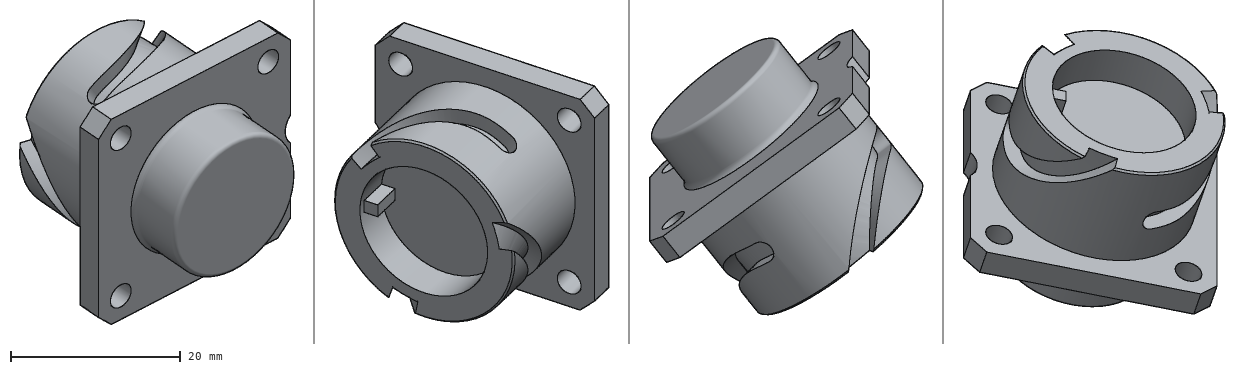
import cadquery as cq
import math

LENGTH = 24.7

FLANGE_SIZE = 30.0
FLANGE_FRONT = 14.13
FLANGE_THICKNESS = 3.3
FLANGE_BACK = FLANGE_FRONT + FLANGE_THICKNESS
CORNER_CHAMFER = 1.98
HOLE_SPACING = 23.05
HOLE_DIAMETER = 3.25
NOTCH_RADIUS = 2.9
NOTCH_DEPTH = 0.8

BARREL_RADIUS = 12.33
BARREL_CHAMFER = 0.25

BOSS_RADIUS = 9.5
BOSS_ROUND = 0.57
NECK_LENGTH = 0.75
NECK_FLARE = 0.42

BORE_RADIUS = 8.73
BORE_DEPTH = 4.92
KEY_FRONT = 0.93
KEY_WIDTH = 1.68
KEY_TIP = 6.85

SLOT_COUNT = 3
SLOT_WIDTH = 2.8
SLOT_FLOOR_RADIUS = 10.32
SLOT_CLEARANCE = 0.9
SLOT_TOP_RADIUS = BARREL_RADIUS + SLOT_CLEARANCE
SLOT_DEPTH_X = 7.8
SLOT_END_ANGLE = -32.8
SLOT_CURVE_ANGLE = -22.0
SLOT_MOUTH_ANGLE = 45.8
SLOT_OVERRUN_ANGLE = 12.0
SLOT_STEPS = 28


def make_flange():
    plate = (
        cq.Workplane("YZ", origin=(FLANGE_FRONT, 0, 0))
        .rect(FLANGE_SIZE, FLANGE_SIZE)
        .extrude(FLANGE_THICKNESS)
        .edges("|X")
        .chamfer(CORNER_CHAMFER)
    )
    holes = (
        cq.Workplane("YZ", origin=(FLANGE_FRONT, 0, 0))
        .rect(HOLE_SPACING, HOLE_SPACING, forConstruction=True)
        .vertices()
        .circle(HOLE_DIAMETER / 2)
        .extrude(FLANGE_THICKNESS)
    )
    notch = (
        cq.Workplane("YZ", origin=(FLANGE_FRONT, 0, 0))
        .center(FLANGE_SIZE / 2 - NOTCH_DEPTH + NOTCH_RADIUS, 0)
        .circle(NOTCH_RADIUS)
        .extrude(FLANGE_THICKNESS)
    )
    return plate.cut(holes).cut(notch)


def make_barrel():
    return (
        cq.Workplane("YZ")
        .circle(BARREL_RADIUS)
        .extrude(FLANGE_FRONT)
        .faces("<X")
        .chamfer(BARREL_CHAMFER)
    )


def make_boss():
    """Rear boss with a rounded end and a short flared neck at the flange."""
    round_drop = BOSS_ROUND * (1 - math.sqrt(0.5))
    neck_radius = (NECK_LENGTH**2 + NECK_FLARE**2) / (2 * NECK_FLARE)
    neck_sag = neck_radius - math.sqrt(neck_radius**2 - (NECK_LENGTH / 2) ** 2)
    neck_mid = (FLANGE_BACK + NECK_LENGTH / 2, BOSS_RADIUS + neck_sag)
    return (
        cq.Workplane("XY")
        .moveTo(FLANGE_BACK, 0)
        .lineTo(FLANGE_BACK, BOSS_RADIUS + NECK_FLARE)
        .threePointArc(neck_mid, (FLANGE_BACK + NECK_LENGTH, BOSS_RADIUS))
        .lineTo(LENGTH - BOSS_ROUND, BOSS_RADIUS)
        .threePointArc(
            (LENGTH - round_drop, BOSS_RADIUS - round_drop),
            (LENGTH, BOSS_RADIUS - BOSS_ROUND),
        )
        .lineTo(LENGTH, 0)
        .close()
        .revolve(360, (0, 0, 0), (1, 0, 0))
    )


def make_bore():
    return cq.Workplane("YZ").circle(BORE_RADIUS).extrude(BORE_DEPTH)


def make_key():
    """Keying rib on the +Y side of the bore, standing on the bore floor."""
    length = BORE_DEPTH - KEY_FRONT
    height = BARREL_RADIUS - KEY_TIP
    key = cq.Workplane("XY").box(length, height, KEY_WIDTH, centered=(False, False, True))
    return key.translate((KEY_FRONT, KEY_TIP, 0)).intersect(make_bore())


def slot_x(angle):
    """X of the slot centre line: level at the closed end, then a parabola to the mouth."""
    bend = max(0.0, angle - SLOT_CURVE_ANGLE) / (SLOT_MOUTH_ANGLE - SLOT_CURVE_ANGLE)
    return SLOT_DEPTH_X * (1 - bend**2)


def slot_slope(angle):
    """Change of X per unit of arc length along the barrel surface."""
    span = SLOT_MOUTH_ANGLE - SLOT_CURVE_ANGLE
    bend = max(0.0, angle - SLOT_CURVE_ANGLE) / span
    return -2 * SLOT_DEPTH_X * bend / (math.radians(span) * BARREL_RADIUS)


def slot_section(angle):
    """Rectangle across the slot, standing radially at one angle of its path."""
    turn = math.radians(angle)
    outward = cq.Vector(0, math.sin(turn), math.cos(turn))
    around = cq.Vector(0, math.cos(turn), -math.sin(turn))
    across = (cq.Vector(1, 0, 0) - around * slot_slope(angle)).normalized() * (SLOT_WIDTH / 2)
    centre = cq.Vector(slot_x(angle), 0, 0)
    floor = centre + outward * SLOT_FLOOR_RADIUS
    top = centre + outward * SLOT_TOP_RADIUS
    corners = [floor - across, floor + across, top + across, top - across]
    return cq.Wire.makePolygon(corners, close=True)


def make_slot():
    """Curved channel from the mating face to a round closed end."""
    travel = SLOT_MOUTH_ANGLE + SLOT_OVERRUN_ANGLE - SLOT_END_ANGLE
    angles = [SLOT_END_ANGLE + travel * step / SLOT_STEPS for step in range(SLOT_STEPS + 1)]
    channel = cq.Solid.makeLoft([slot_section(angle) for angle in angles], True)
    closed_end = (
        cq.Workplane("XY", origin=(SLOT_DEPTH_X, 0, SLOT_FLOOR_RADIUS))
        .circle(SLOT_WIDTH / 2)
        .extrude(SLOT_TOP_RADIUS - SLOT_FLOOR_RADIUS)
        .rotate((0, 0, 0), (1, 0, 0), -SLOT_END_ANGLE)
    )
    return closed_end.union(cq.Workplane(channel))


body = make_flange().union(make_barrel()).union(make_boss())
body = body.cut(make_bore()).union(make_key())

slot = make_slot()
for index in range(SLOT_COUNT):
    body = body.cut(slot.rotate((0, 0, 0), (1, 0, 0), index * 360 / SLOT_COUNT))

result = body